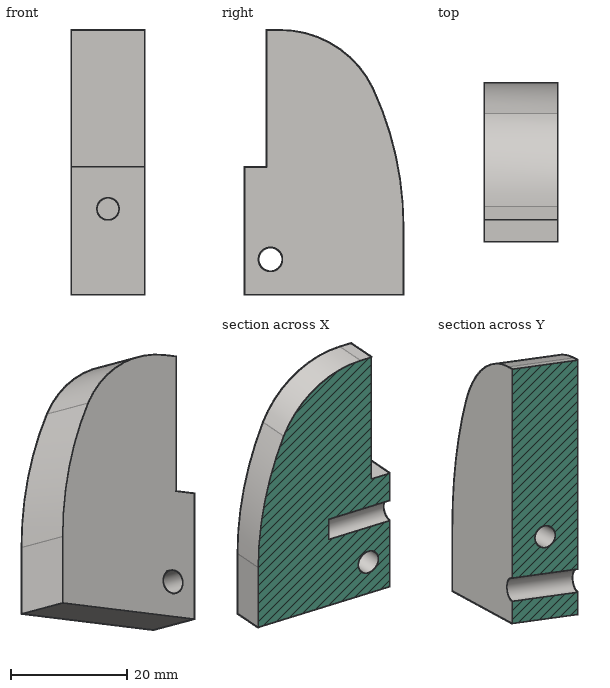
import cadquery as cq
import math

width = 12.7
depth = 27.46
height = 45.66

ledge_depth = 3.81
ledge_height = 22.06

flat_top_end = 6.15
crown_radius = 17.78
back_start_z = 11.7
meeting_y = 22.15
crown_angle = math.asin((meeting_y - flat_top_end) / crown_radius)
meeting_z = height - crown_radius * (1 - math.cos(crown_angle))
back_inset = depth - meeting_y
back_rise = meeting_z - back_start_z
back_radius = (back_inset**2 + back_rise**2) / (2 * back_inset)
back_angle = math.asin(back_rise / back_radius)

cross_hole_diameter = 4.07
cross_hole_y = 4.5
cross_hole_z = 6.1

front_hole_diameter = 3.82
front_hole_z = 14.8
front_hole_depth = 12.7


def crown_point(angle):
    """Point on the crown arc, with the angle measured from the top."""
    y = flat_top_end + crown_radius * math.sin(angle)
    z = height - crown_radius * (1 - math.cos(angle))
    return (y, z)


def back_point(angle):
    """Point on the back arc, with the angle measured from its lower end."""
    y = depth - back_radius * (1 - math.cos(angle))
    z = back_start_z + back_radius * math.sin(angle)
    return (y, z)


def make_body():
    """Side profile in the YZ plane, extruded evenly about X = 0."""
    return (
        cq.Workplane("YZ")
        .moveTo(0, 0)
        .lineTo(depth, 0)
        .lineTo(depth, back_start_z)
        .threePointArc(back_point(back_angle / 2), (meeting_y, meeting_z))
        .threePointArc(crown_point(crown_angle / 2), (flat_top_end, height))
        .lineTo(ledge_depth, height)
        .lineTo(ledge_depth, ledge_height)
        .lineTo(0, ledge_height)
        .close()
        .extrude(width / 2, both=True)
    )


def make_cross_hole():
    """Cylinder along X that spans the full width."""
    return (
        cq.Workplane("YZ")
        .center(cross_hole_y, cross_hole_z)
        .circle(cross_hole_diameter / 2)
        .extrude(width / 2, both=True)
    )


def make_front_hole():
    """Cylinder that enters the front face toward +Y."""
    return (
        cq.Workplane("XZ")
        .center(0, front_hole_z)
        .circle(front_hole_diameter / 2)
        .extrude(-front_hole_depth)
    )


result = make_body().cut(make_cross_hole()).cut(make_front_hole())